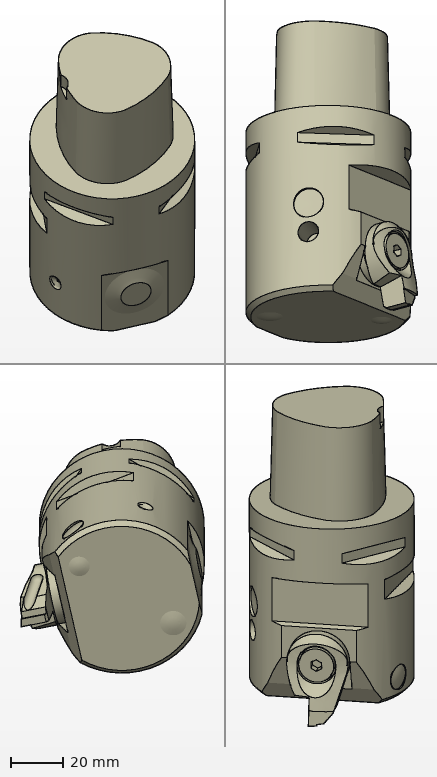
import cadquery as cq
import math

OVERALL_HEIGHT = 116.0
OVERALL_WIDTH = 71.2
BODY_DIAMETER = 63.0
BODY_RADIUS = BODY_DIAMETER / 2
BODY_LENGTH = 74.5
BASE_Z = -BODY_LENGTH
BASE_CHAMFER = 1.9
CUT_CLEARANCE = 5.8

SHANK_LENGTH = 37.9
SHANK_TOP_SCALE = 0.96
LOBE_REACH = 23.7
SIDE_REACH = 20.3
JOINT_RADIUS = 22.4
JOINT_ANGLE = 25.5
KEY_DIAMETER = 10.0
KEY_DEPTH = 6.4
KEY_INNER_REACH = 17.9

GRIPPER_DISTANCE = 27.8
GRIPPER_TOP_Z = -10.2
GRIPPER_BOTTOM_Z = -14.0
GRIPPER_FLARE = 26.0
SLOT_AZIMUTH = -100.0
SLOT_DISTANCE = 27.3
SLOT_TOP_Z = -23.7
SLOT_BOTTOM_Z = -31.7
POCKET_DISTANCE = 25.4
POCKET_TOP_Z = -23.8
POCKET_BOTTOM_Z = -41.5
WALL_FLARE = 14.0
BACK_DISTANCE = 28.5
BACK_TOP_Z = -42.5
BACK_FLARE = 38.0

CUTTER_Z = -55.2
SEAT_X = -28.0
BEVEL_X = -23.8
BEVEL_Z = -67.7
BASE_EDGE_X = -20.2
RECESS_WIDTH = 24.0
RECESS_FLOOR_X = -23.5
BOSS_X = -26.9

BACK_DOME_DIAMETER = 23.8
BACK_DOME_FLAT_DIAMETER = 12.1
BACK_DOME_X = 30.2
DOME_ROOT = 1.2

SIDE_DOME_DIAMETER = 10.0
SIDE_DOME_AZIMUTH = -115.0
SIDE_DOME_Z = -66.0
SIDE_DOME_HEIGHT = 0.7
LOCK_AZIMUTH = -61.3
LOCK_RIM_DIAMETER = 6.3
LOCK_FUNNEL_DIAMETER = 5.0
LOCK_TIP_DIAMETER = 1.0
LOCK_RIM_DEPTH = 0.6
LOCK_FUNNEL_DEPTH = 1.5
LOCK_DEPTH = 2.3
SIDE_HOLE_AZIMUTH = 115.0
DIAL_DIAMETER = 11.7
DIAL_Z = -38.9
DIAL_WALL_DEPTH = 1.2
DIAL_DEPTH = 1.9
PORT_DIAMETER = 8.0
PORT_Z = -50.7
PORT_DEPTH = 13.9

BASE_DOMES = [(-13.1, -16.1, 8.0), (17.2, 14.2, 10.0)]
BASE_DOME_HEIGHT = 0.7

HEAD_DIAMETER = 23.8
HEAD_RADIUS = HEAD_DIAMETER / 2
RIM_X = -31.5
FRONT_X = -34.6
FRONT_BEVEL_RADIUS = 8.6
TIP_X = BODY_RADIUS - OVERALL_WIDTH
TIP_Z = SHANK_LENGTH - OVERALL_HEIGHT
TIP_EDGE_Y = 2.1
STEP_Z = -68.9
STEP_FRONT = (-37.1, -66.8)
TIP_FACE_TURN = 13.0
TIP_FACE_TOP = (-38.7, -72.0)
NOSE_EDGE_Y = -1.0
NOSE_HEIGHT = 0.6
TIP_BEVEL_START = (-3.7, -77.3)
FLANK_MIDDLE = (10.5, -62.0)
FLANK_END_Y = 6.4
FRONT_PATH = [
    (FRONT_X, -53.4),
    (-35.3, -58.0),
    (-36.9, -63.3),
    (-38.4, -68.9),
    (-39.5, -74.5),
    (-40.4, -79.1),
]
FRONT_START_DIRECTION = (0, -1)
FRONT_END_DIRECTION = (-0.2, -1)
BACK_PATH = [(-29.9, TIP_Z), (-28.9, -77.1), (-27.3, STEP_Z), (-27.5, -58.0), (SEAT_X, CUTTER_Z)]
TIP_CORNER = (-7.1, -73.2)
DISH_RADIUS = 7.5
DISH_BASE_X = -33.8
FLUTE_DIAMETER = 4.8
FLUTE_TOP = (-31.0, -10.3, -62.9)
FLUTE_END = (-36.0, -5.8, -78.9)

SCREW_HEAD_DIAMETER = 13.6
SCREW_HEAD_X = -34.0
SCREW_SEAT_X = -31.1
SCREW_SHANK_DIAMETER = 8.0
SCREW_END_X = -16.2
SOCKET_CORNER_DIAMETER = 4.8
SOCKET_DEPTH = 3.5


def polar(radius, degrees):
    """Point at a radius and an angle."""
    angle = math.radians(degrees)
    return (radius * math.cos(angle), radius * math.sin(angle))


def radial_plane(azimuth, z, radius):
    """Plane facing outward from the body axis."""
    x, y = polar(1, azimuth)
    return cq.Plane(origin=(radius * x, radius * y, z), xDir=(-y, x, 0), normal=(x, y, 0))


def x_cylinder(diameter, x_start, x_end):
    """Cylinder along X on the clamping screw axis."""
    plane = cq.Plane(origin=(x_start, 0, CUTTER_Z), xDir=(0, 1, 0), normal=(1, 0, 0))
    return cq.Workplane(plane).circle(diameter / 2).extrude(x_end - x_start)


def dome(plane, diameter, height):
    """Spherical cap standing on a plane."""
    profile = (
        cq.Workplane("XZ")
        .moveTo(0, 0)
        .lineTo(diameter / 2, 0)
        .radiusArc((0, height), -((diameter / 2) ** 2 + height**2) / (2 * height))
        .close()
    )
    cap = profile.revolve(360, (0, 0, 0), (0, 1, 0)).val()
    return cq.Workplane(cap.moved(cq.Location(plane)))


def turned_recess(plane, radii_and_depths):
    """Round recess below a plane; its profile is (radius, depth) points ending on the axis."""
    top_radius = radii_and_depths[0][0]
    points = [(0, CUT_CLEARANCE), (top_radius, CUT_CLEARANCE)]
    points += [(radius, -depth) for radius, depth in radii_and_depths]
    tool = cq.Workplane("XZ").polyline(points).close().revolve(360, (0, 0, 0), (0, 1, 0)).val()
    return cq.Workplane(tool.moved(cq.Location(plane)))


def flat_cutter(azimuth, distance, top_z, bottom_z, flare):
    """Tool that cuts a flat across the body; its end walls flare outward."""
    reach = BODY_RADIUS + CUT_CLEARANCE
    rise = (reach - distance) * math.tan(math.radians(flare))
    profile = [
        (distance, top_z),
        (reach, top_z + rise),
        (reach, bottom_z - rise),
        (distance, bottom_z),
    ]
    tool = cq.Workplane("XZ").polyline(profile).close().extrude(BODY_RADIUS, both=True)
    return tool.rotate((0, 0, 0), (0, 0, 1), azimuth)


def shank_outline(workplane, scale):
    """Three lobes, one pointing to +Y, joined by flatter arcs."""
    outline = workplane.moveTo(*polar(scale * JOINT_RADIUS, 90 - JOINT_ANGLE))
    for lobe_angle in (90, 210, 330):
        outline = outline.threePointArc(
            polar(scale * LOBE_REACH, lobe_angle),
            polar(scale * JOINT_RADIUS, lobe_angle + JOINT_ANGLE),
        ).threePointArc(
            polar(scale * SIDE_REACH, lobe_angle + 60),
            polar(scale * JOINT_RADIUS, lobe_angle + 120 - JOINT_ANGLE),
        )
    return outline.close()


def make_shank():
    base = shank_outline(cq.Workplane("XY"), 1)
    shank = shank_outline(base.workplane(offset=SHANK_LENGTH), SHANK_TOP_SCALE).loft(ruled=True)
    key_y = -KEY_INNER_REACH - KEY_DIAMETER / 2
    key = (
        cq.Workplane("XY", origin=(0, key_y, SHANK_LENGTH - KEY_DEPTH))
        .circle(KEY_DIAMETER / 2)
        .extrude(KEY_DEPTH)
    )
    return shank.cut(key)


def cut_flats(body):
    for azimuth in (45, 135, 225, 315):
        gripper = (GRIPPER_DISTANCE, GRIPPER_TOP_Z, GRIPPER_BOTTOM_Z, GRIPPER_FLARE)
        body = body.cut(flat_cutter(azimuth, *gripper))
    body = body.cut(flat_cutter(SLOT_AZIMUTH, SLOT_DISTANCE, SLOT_TOP_Z, SLOT_BOTTOM_Z, WALL_FLARE))
    body = body.cut(flat_cutter(180, POCKET_DISTANCE, POCKET_TOP_Z, POCKET_BOTTOM_Z, WALL_FLARE))
    return body.cut(flat_cutter(0, BACK_DISTANCE, BACK_TOP_Z, BASE_Z - CUT_CLEARANCE, BACK_FLARE))


def shape_seat(body):
    """Flat seat for the cutter, two bevels below it, and a boss in a recess across the bevels."""
    outer_x = -BODY_RADIUS - CUT_CLEARANCE
    relief = [
        (outer_x, POCKET_BOTTOM_Z),
        (SEAT_X, POCKET_BOTTOM_Z),
        (SEAT_X, CUTTER_Z),
        (BEVEL_X, BEVEL_Z),
        (BASE_EDGE_X, BASE_Z),
        (outer_x, BASE_Z),
    ]
    body = body.cut(cq.Workplane("XZ").polyline(relief).close().extrude(BODY_RADIUS, both=True))
    recess = cq.Workplane("XY").box(
        RECESS_FLOOR_X - outer_x, RECESS_WIDTH, CUTTER_Z - BASE_Z, centered=(False, True, False)
    )
    body = body.cut(recess.translate((outer_x, 0, BASE_Z)))
    body = body.union(x_cylinder(RECESS_WIDTH, BOSS_X, RECESS_FLOOR_X + DOME_ROOT))
    return body.cut(x_cylinder(SCREW_SHANK_DIAMETER, SEAT_X - CUT_CLEARANCE, SCREW_END_X))


def add_back_dome(body):
    """Shallow dome with a flat middle on the +X flat."""
    outer = BACK_DOME_DIAMETER / 2
    inner = BACK_DOME_FLAT_DIAMETER / 2
    profile = (
        cq.Workplane("XY")
        .moveTo(BACK_DISTANCE - DOME_ROOT, 0)
        .lineTo(BACK_DISTANCE - DOME_ROOT, outer)
        .lineTo(BACK_DISTANCE, outer)
        .radiusArc((BACK_DOME_X, inner), -BODY_RADIUS)
        .lineTo(BACK_DOME_X, 0)
        .close()
    )
    back_dome = profile.revolve(360, (0, 0, 0), (1, 0, 0)).translate((0, 0, CUTTER_Z))
    return body.union(back_dome)


def add_side_details(body):
    floor_radius = BODY_RADIUS - SIDE_DOME_HEIGHT
    dome_floor = radial_plane(SIDE_DOME_AZIMUTH, SIDE_DOME_Z, floor_radius)
    body = body.cut(turned_recess(dome_floor, [(SIDE_DOME_DIAMETER / 2, 0), (0, 0)]))
    body = body.union(dome(dome_floor, SIDE_DOME_DIAMETER, SIDE_DOME_HEIGHT))

    lock_profile = [
        (LOCK_RIM_DIAMETER / 2, 0),
        (LOCK_FUNNEL_DIAMETER / 2, LOCK_RIM_DEPTH),
        (LOCK_TIP_DIAMETER / 2, LOCK_FUNNEL_DEPTH),
        (LOCK_TIP_DIAMETER / 2, LOCK_DEPTH),
        (0, LOCK_DEPTH),
    ]
    body = body.cut(turned_recess(radial_plane(LOCK_AZIMUTH, CUTTER_Z, BODY_RADIUS), lock_profile))

    dial_profile = [(DIAL_DIAMETER / 2, DIAL_WALL_DEPTH), (0, DIAL_DEPTH)]
    body = body.cut(turned_recess(radial_plane(SIDE_HOLE_AZIMUTH, DIAL_Z, BODY_RADIUS), dial_profile))
    port_profile = [(PORT_DIAMETER / 2, PORT_DEPTH), (0, PORT_DEPTH)]
    return body.cut(turned_recess(radial_plane(SIDE_HOLE_AZIMUTH, PORT_Z, BODY_RADIUS), port_profile))


def add_base_domes(body):
    for x, y, diameter in BASE_DOMES:
        plane = cq.Plane(origin=(x, y, BASE_Z), xDir=(1, 0, 0), normal=(0, 0, -1))
        body = body.union(dome(plane, diameter, BASE_DOME_HEIGHT))
    return body


def make_housing():
    body = cq.Workplane("XY").circle(BODY_RADIUS).extrude(-BODY_LENGTH)
    body = body.faces("<Z").chamfer(BASE_CHAMFER)
    body = cut_flats(body)
    body = shape_seat(body)
    body = add_back_dome(body)
    body = add_side_details(body)
    body = add_base_domes(body)
    return body.union(make_shank())


def cutter_outline():
    """Outline seen along X: round head, curved flank, narrow tip at the bottom."""
    corner_y = TIP_CORNER[0]
    corner_drop = TIP_CORNER[1] - CUTTER_Z
    corner_angle = math.atan2(corner_drop, corner_y)
    tangent_angle = corner_angle - math.acos(HEAD_RADIUS / math.hypot(corner_y, corner_drop))
    tangent_y, tangent_z = polar(HEAD_RADIUS, math.degrees(tangent_angle))
    return (
        cq.Workplane("YZ", origin=(TIP_X, 0, 0))
        .moveTo(HEAD_RADIUS, CUTTER_Z)
        .threePointArc(FLANK_MIDDLE, (FLANK_END_Y, STEP_Z))
        .lineTo(TIP_EDGE_Y, STEP_Z)
        .lineTo(TIP_EDGE_Y, TIP_Z)
        .lineTo(NOSE_EDGE_Y, TIP_Z)
        .lineTo(NOSE_EDGE_Y, TIP_Z + NOSE_HEIGHT)
        .lineTo(*TIP_BEVEL_START)
        .lineTo(*TIP_CORNER)
        .lineTo(tangent_y, CUTTER_Z + tangent_z)
        .threePointArc((0, CUTTER_Z + HEAD_RADIUS), (HEAD_RADIUS, CUTTER_Z))
        .close()
        .extrude(BOSS_X - TIP_X)
    )


def cutter_profile():
    """Profile seen along Y: seat face at the top and a relieved back down to the tip."""
    outer_x = TIP_X - CUT_CLEARANCE
    points = [
        (SEAT_X, CUTTER_Z + HEAD_DIAMETER),
        (outer_x, CUTTER_Z + HEAD_DIAMETER),
        (outer_x, TIP_Z),
    ]
    points += BACK_PATH
    return cq.Workplane("XZ").polyline(points).close().extrude(HEAD_DIAMETER, both=True)


def crowned_blank():
    """Stock with a crowned front that runs straight down the head and leans outward to the tip."""
    start_z = CUTTER_Z + HEAD_DIAMETER
    side = HEAD_RADIUS + CUT_CLEARANCE
    crown = (
        cq.Workplane("XY", origin=(0, 0, start_z))
        .moveTo(BOSS_X + CUT_CLEARANCE, side)
        .lineTo(RIM_X, side)
        .lineTo(RIM_X, HEAD_RADIUS)
        .threePointArc((FRONT_X, 0), (RIM_X, -HEAD_RADIUS))
        .lineTo(RIM_X, -side)
        .lineTo(BOSS_X + CUT_CLEARANCE, -side)
        .close()
    )
    path = (
        cq.Workplane("XZ")
        .moveTo(FRONT_X, start_z)
        .spline(FRONT_PATH, tangents=[FRONT_START_DIRECTION, FRONT_END_DIRECTION], includeCurrent=True)
    )
    return crown.sweep(path)


def cut_head_bevel(cutter):
    """Conical bevel round the upper rim of the head."""
    slope = (HEAD_RADIUS - FRONT_BEVEL_RADIUS) / (RIM_X - FRONT_X)
    outside = HEAD_RADIUS + CUT_CLEARANCE
    profile = [
        (RIM_X + CUT_CLEARANCE, HEAD_RADIUS + slope * CUT_CLEARANCE),
        (TIP_X, HEAD_RADIUS - slope * (RIM_X - TIP_X)),
        (TIP_X, outside),
        (RIM_X + CUT_CLEARANCE, outside),
    ]
    ring = cq.Workplane("XY").polyline(profile).close().revolve(180, (0, 0, 0), (1, 0, 0))
    return cutter.cut(ring.translate((0, 0, CUTTER_Z)))


def cut_tip_face(cutter):
    """Flat face across the front of the tip, turned back from the cutting edge."""
    points = [
        TIP_FACE_TOP,
        (TIP_X, TIP_Z),
        (TIP_X - CUT_CLEARANCE, TIP_Z),
        (TIP_X - CUT_CLEARANCE, TIP_FACE_TOP[1]),
    ]
    tool = cq.Workplane("XZ").polyline(points).close().extrude(HEAD_DIAMETER, both=True)
    edge_bottom = (TIP_X, TIP_EDGE_Y, 0)
    edge_top = (TIP_X, TIP_EDGE_Y, 1)
    return cutter.cut(tool.rotate(edge_bottom, edge_top, TIP_FACE_TURN))


def cut_screw_dish(cutter):
    """Conical dish, counterbore and hole for the clamping screw."""
    dish_height = DISH_BASE_X - TIP_X
    dish_profile = [
        (DISH_BASE_X, 0),
        (DISH_BASE_X, DISH_RADIUS),
        (TIP_X, DISH_RADIUS + dish_height),
        (TIP_X, 0),
    ]
    dish = cq.Workplane("XY").polyline(dish_profile).close().revolve(360, (0, 0, 0), (1, 0, 0))
    cutter = cutter.cut(dish.translate((0, 0, CUTTER_Z)))
    cutter = cutter.cut(x_cylinder(2 * DISH_RADIUS, TIP_X, SCREW_SEAT_X))
    return cutter.cut(x_cylinder(SCREW_SHANK_DIAMETER, TIP_X, BOSS_X))


def cut_step(cutter):
    """Slanted underside of the head beside the tip."""
    step = [
        STEP_FRONT,
        (SEAT_X, STEP_Z),
        (BOSS_X, STEP_Z),
        (BOSS_X, TIP_Z),
        (TIP_X, TIP_Z),
        (TIP_X, STEP_FRONT[1]),
    ]
    wedge = cq.Workplane("XZ", origin=(0, TIP_EDGE_Y, 0)).polyline(step).close().extrude(-HEAD_RADIUS)
    return cutter.cut(wedge)


def cut_flute(cutter):
    """Round-ended groove along the sloping -Y flank of the tail."""
    start = cq.Vector(*FLUTE_TOP)
    run = cq.Vector(*FLUTE_END) - start
    groove = cq.Solid.makeCylinder(FLUTE_DIAMETER / 2, run.Length, start, run)
    ball = cq.Workplane("XY").sphere(FLUTE_DIAMETER / 2).translate(FLUTE_TOP)
    return cutter.cut(cq.Workplane(groove)).cut(ball)


def make_cutter():
    cutter = crowned_blank().intersect(cutter_profile()).intersect(cutter_outline())
    cutter = cut_head_bevel(cutter)
    cutter = cut_tip_face(cutter)
    cutter = cut_screw_dish(cutter)
    cutter = cut_step(cutter)
    return cut_flute(cutter)


def make_screw():
    head = x_cylinder(SCREW_HEAD_DIAMETER, SCREW_HEAD_X, SCREW_SEAT_X)
    screw = head.union(x_cylinder(SCREW_SHANK_DIAMETER, SCREW_SEAT_X, SCREW_END_X))
    plane = cq.Plane(origin=(SCREW_HEAD_X, 0, CUTTER_Z), xDir=(0, 0, 1), normal=(1, 0, 0))
    socket = cq.Workplane(plane).polygon(6, SOCKET_CORNER_DIAMETER).extrude(SOCKET_DEPTH)
    return screw.cut(socket)


housing = make_housing()
cutter = make_cutter()
screw = make_screw()
result = cq.Compound.makeCompound([housing.val(), cutter.val(), screw.val()])